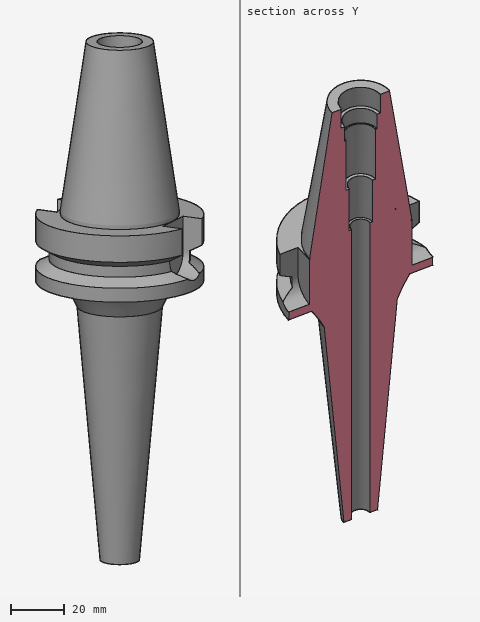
import cadquery as cq

length = 200.5
flange_radius = 31.5

taper_small_radius = 12.6
gauge_radius = 22.2
taper_length = 65.3

flange_top_depth = 66.7
flange_bottom_depth = 92.4
groove_center_depth = 82.0
groove_floor_width = 4.2
groove_mouth_width = 10.0
groove_radius = 26.5

neck_radius = 21.5
neck_end_depth = 102.2
neck_sag = 0.3
nose_radius = 16.0
tip_radius = 7.5

slot_width = 16.2
slot_floor_x = 22.5
slot_bottom_depth = 88.4

through_radius = 4.0
bore_steps = [(8.5, 9.0), (7.0, 16.0), (6.5, 40.0), (5.0, 60.1)]


def height(depth):
    """Z of a level given by its depth below the top end."""
    return length - depth


def make_body():
    floor_half = groove_floor_width / 2
    mouth_half = groove_mouth_width / 2
    neck_mid_radius = (neck_radius + nose_radius) / 2 - neck_sag
    neck_mid_depth = (flange_bottom_depth + neck_end_depth) / 2
    profile = (
        cq.Workplane("XZ")
        .moveTo(0, length)
        .lineTo(taper_small_radius, length)
        .lineTo(gauge_radius, height(taper_length))
        .lineTo(gauge_radius, height(flange_top_depth))
        .lineTo(flange_radius, height(flange_top_depth))
        .lineTo(flange_radius, height(groove_center_depth - mouth_half))
        .lineTo(groove_radius, height(groove_center_depth - floor_half))
        .lineTo(groove_radius, height(groove_center_depth + floor_half))
        .lineTo(flange_radius, height(groove_center_depth + mouth_half))
        .lineTo(flange_radius, height(flange_bottom_depth))
        .lineTo(neck_radius, height(flange_bottom_depth))
        .threePointArc(
            (neck_mid_radius, height(neck_mid_depth)),
            (nose_radius, height(neck_end_depth)),
        )
        .lineTo(tip_radius, 0)
        .lineTo(0, 0)
        .close()
    )
    return profile.revolve(360, (0, 0, 0), (0, 1, 0))


def make_drive_slot():
    """Round-bottomed cutter for the slot on the +X side, open at the top."""
    half_width = slot_width / 2
    bottom = height(slot_bottom_depth)
    top = height(flange_top_depth)
    return (
        cq.Workplane("YZ", origin=(slot_floor_x, 0, 0))
        .moveTo(-half_width, top)
        .lineTo(-half_width, bottom + half_width)
        .threePointArc((0, bottom), (half_width, bottom + half_width))
        .lineTo(half_width, top)
        .close()
        .extrude(flange_radius)
    )


def make_bore():
    bore = cq.Workplane("XY").circle(through_radius).extrude(length)
    for radius, depth in bore_steps:
        step = cq.Workplane("XY", origin=(0, 0, height(depth))).circle(radius).extrude(depth)
        bore = bore.union(step)
    return bore


slot = make_drive_slot()
result = make_body().cut(slot).cut(slot.mirror("YZ")).cut(make_bore())